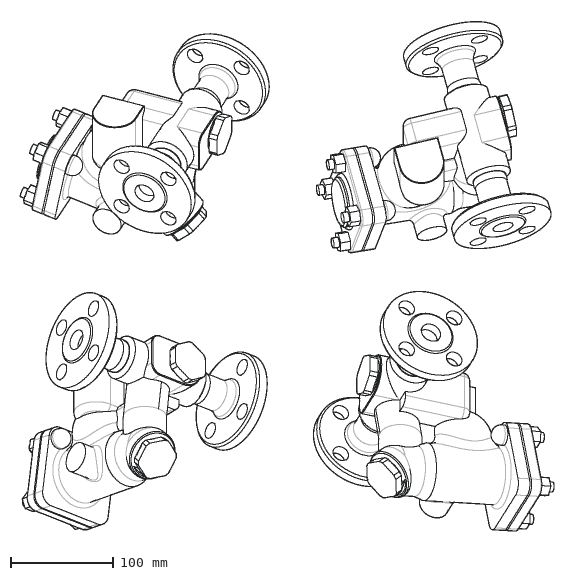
import cadquery as cq
import math


pipe_half_length = 100.98
flange_radius = 49.0
flange_back = 87.7
flange_front = 99.6
flange_chamfer = 2.3
raised_face_radius = 21.8
raised_face_spread = 1.6
bolt_circle_radius = 35.0
bolt_hole_diameter = 16.0
bore_diameter = 20.0
bore_depth = 10.0
neck_radius = 16.0
hub_waist_radius = 19.0
hub_waist = 84.9
hub_radius = 20.8
hub_start = 75.8
shell_radius = 22.0
shell_half_length = 47.5
shell_chamfer_length = 2.9
shell_end_radius = 16.6
weld_radius = 16.8
weld_end = 54.7

boss_reach = 27.5
boss_round_y = 12.1
boss_flat_y = -28.0
boss_corner = 10.0
boss_edge = 0.8
plug_across_flats = 38.0
plug_corner_diameter = 41.5
plug_height = 8.5
plug_seat_diameter = 35.0
plug_seat_height = 1.8

body_y = -8.2
tilt = math.radians(10)
cover_x = -135.2
cover_z = -67.5
cover_size = 82.5
cover_corner = 12.0
cover_edge = 1.5
cover_thickness = 11.3
gasket_diameter = 69.9
gasket_thickness = 1.8
body_flange_thickness = 12.1
cap_diameter = 50.0
cap_height = 7.0
cap_edge = 2.0
cap_foot = 3.0
bolt_spacing = 58.0
bolt_diameter = 10.0
bolt_reach = 15.6
nut_corner_diameter = 20.0
nut_height = 10.0
lug_radius = 10.0
lug_length = 2.7
barrel_radius = 28.4
barrel_fillet = 4.1
barrel_length = 102.5
taper_length = 10.3
elbow_distance = 133.1
elbow_radius = 24.96
elbow_face = 11.7
elbow_edge = 1.2

dome_radius = 31.5
dome_x = -70.9
dome_z = -41.0
dome_fillet = 12.0
web_half_thickness = 8.2
web_top = -24.7
web_round = 7.2
column_x = -62.7
column_y = -25.0
column_radius = 22.0
column_back_y = -3.0
column_top = 24.9
column_bottom = -34.5
column_round = 6.5
column_top_edge = 0.6
duct_left = -69.5
duct_front = -7.8
duct_back = 28.5
duct_top = 19.1
duct_bottom = -35.0
duct_round = 8.2
stub_x = -59.4
stub_z = -89.0
stub_diameter = 30.0
stub_end_y = -53.5
stub_fillet = 4.5
riser_x = -8.0
riser_radius = 21.2
riser_bend_z = -50.3

barrel_direction = cq.Vector(math.cos(tilt), 0, -math.sin(tilt))
cover_center = cq.Vector(cover_x, body_y, cover_z)
elbow_center = cover_center + barrel_direction * elbow_distance


def barrel_plane(distance):
    """Plane square to the barrel; local x is Y, local z runs from cover to elbow."""
    return cq.Plane(cover_center + barrel_direction * distance, (0, 1, 0), barrel_direction)


def turned_on_barrel(profile):
    """Revolve a closed profile about the barrel axis; sketch x is radius, y is distance."""
    across = cq.Vector(0, 1, 0)
    plane = cq.Plane(cover_center, across, across.cross(barrel_direction))
    return profile(cq.Workplane(plane)).close().revolve(360, (0, 0, 0), (0, 1, 0))


def blended(base, branch, radius):
    """Join a round branch to a round base and fillet the curved seam between them."""
    return base.union(branch).edges("%BSPLINE").fillet(radius)


def shell():
    """Thick middle of the pipe with chamfered ends."""
    shoulder = shell_half_length - shell_chamfer_length
    return (
        cq.Workplane("XY")
        .moveTo(0, -shell_half_length)
        .lineTo(shell_end_radius, -shell_half_length)
        .lineTo(shell_radius, -shoulder)
        .lineTo(shell_radius, shoulder)
        .lineTo(shell_end_radius, shell_half_length)
        .lineTo(0, shell_half_length)
        .close()
        .revolve(360, (0, 0, 0), (0, 1, 0))
    )


def pipe_end():
    """Weld bead, neck, hub and flange of the pipe on the +Y side."""
    end = (
        cq.Workplane("XY")
        .lineTo(neck_radius, 0)
        .lineTo(neck_radius, shell_half_length)
        .threePointArc((weld_radius, (shell_half_length + weld_end) / 2), (neck_radius, weld_end))
        .lineTo(neck_radius, hub_start)
        .tangentArcPoint((hub_waist_radius, hub_waist), relative=False)
        .tangentArcPoint((hub_radius, flange_back), relative=False)
        .lineTo(flange_radius - flange_chamfer, flange_back)
        .lineTo(flange_radius, flange_back + flange_chamfer)
        .lineTo(flange_radius, flange_front)
        .lineTo(raised_face_radius + raised_face_spread, flange_front)
        .lineTo(raised_face_radius, pipe_half_length)
        .lineTo(0, pipe_half_length)
        .close()
        .revolve(360, (0, 0, 0), (0, 1, 0))
    )
    face = cq.Workplane("XZ", origin=(0, pipe_half_length, 0))
    bore = face.circle(bore_diameter / 2).extrude(bore_depth)
    holes = (
        face.polarArray(bolt_circle_radius, 45, 360, 4)
        .circle(bolt_hole_diameter / 2)
        .extrude(pipe_half_length - flange_back)
    )
    return end.cut(bore).cut(holes)


def hex_plug(center, corner_direction, axis):
    """Hexagonal plug head with rounded-off corners, on a round seat."""
    plane = cq.Workplane(cq.Plane(center, corner_direction, axis))
    seat = plane.circle(plug_seat_diameter / 2).extrude(plug_seat_height)
    outer_face = plane.workplane(offset=plug_seat_height)
    across_corners = plug_across_flats / math.cos(math.pi / 6)
    hexagon = outer_face.polygon(6, across_corners).extrude(plug_height)
    corner_round = outer_face.circle(plug_corner_diameter / 2).extrude(plug_height)
    return seat.union(hexagon.intersect(corner_round))


def side_boss():
    """Boss on the +X side of the pipe: one end round, the other with soft corners."""
    block = (
        cq.Workplane("YZ")
        .moveTo(boss_round_y, shell_radius)
        .threePointArc((boss_round_y + shell_radius, 0), (boss_round_y, -shell_radius))
        .lineTo(boss_flat_y, -shell_radius)
        .lineTo(boss_flat_y, shell_radius)
        .close()
        .extrude(boss_reach)
        .edges("|X and <Y")
        .fillet(boss_corner)
        .faces(">X")
        .edges()
        .chamfer(boss_edge)
    )
    plug_seat = cq.Vector(boss_reach, boss_round_y, 0)
    return block.union(hex_plug(plug_seat, cq.Vector(0, 0, 1), cq.Vector(1, 0, 0)))


def square_plate(start, thickness):
    """Square plate with round corners, centered on the barrel axis."""
    return (
        cq.Workplane(barrel_plane(start))
        .rect(cover_size, cover_size)
        .extrude(thickness)
        .edges(cq.selectors.ParallelDirSelector(barrel_direction))
        .fillet(cover_corner)
    )


def cover():
    """Cover plate with its raised cap and the gasket behind it."""
    outer_face = cq.selectors.DirectionMinMaxSelector(barrel_direction, False)
    plate = square_plate(0, cover_thickness).faces(outer_face).edges().fillet(cover_edge)
    cap_radius = cap_diameter / 2

    def cap_profile(sketch):
        return (
            sketch.lineTo(0, -cap_height)
            .lineTo(cap_radius - cap_edge, -cap_height)
            .radiusArc((cap_radius, cap_edge - cap_height), cap_edge)
            .lineTo(cap_radius, -cap_foot)
            .radiusArc((cap_radius + cap_foot, 0), -cap_foot)
        )

    cap = turned_on_barrel(cap_profile)
    gasket = (
        cq.Workplane(barrel_plane(cover_thickness))
        .circle(gasket_diameter / 2)
        .extrude(gasket_thickness)
    )
    return plate.union(cap).union(gasket)


def bolts():
    """Four bolts with nuts; nuts on one diagonal are turned by a right angle."""
    parts = cq.Workplane("XY")
    half = bolt_spacing / 2
    for y_side in (-1, 1):
        for up_side in (-1, 1):
            turn = 0 if y_side == up_side else 90
            spot = cq.Workplane(barrel_plane(0)).center(y_side * half, up_side * half)
            nut = spot.transformed((0, 0, turn)).polygon(6, nut_corner_diameter).extrude(-nut_height)
            stud = spot.circle(bolt_diameter / 2).extrude(-bolt_reach)
            parts = parts.add(nut.union(stud))
    return parts.combine()


def lugs():
    """Ball-ended lugs behind the two upper corners of the body flange."""
    start = cover_thickness + gasket_thickness + body_flange_thickness
    half = bolt_spacing / 2
    plane = cq.Workplane(barrel_plane(start)).pushPoints([(-half, half), (half, half)])
    posts = plane.circle(lug_radius).extrude(lug_length)
    balls = (
        cq.Workplane(barrel_plane(start + lug_length))
        .pushPoints([(-half, half), (half, half)])
        .sphere(lug_radius)
    )
    return posts.union(balls)


def barrel():
    """Body flange, tilted barrel, tapered end and the round elbow with its plug."""
    flange_start = cover_thickness + gasket_thickness
    neck_start = flange_start + body_flange_thickness

    def barrel_profile(sketch):
        return (
            sketch.moveTo(0, flange_start)
            .lineTo(barrel_radius + barrel_fillet, flange_start)
            .lineTo(barrel_radius + barrel_fillet, neck_start)
            .radiusArc((barrel_radius, neck_start + barrel_fillet), barrel_fillet)
            .lineTo(barrel_radius, barrel_length)
            .lineTo(elbow_radius, barrel_length + taper_length)
            .lineTo(elbow_radius, elbow_distance)
            .lineTo(0, elbow_distance)
        )

    plug_axis = cq.Vector(1, 0, -1).normalized()
    corner = cq.Vector(1, 0, 1).normalized()
    elbow = cq.Workplane("XY", origin=elbow_center.toTuple()).sphere(elbow_radius)
    mouth = (
        cq.Workplane(cq.Plane(elbow_center, corner, plug_axis))
        .circle(elbow_radius)
        .extrude(elbow_face)
        .faces(cq.selectors.DirectionMinMaxSelector(plug_axis))
        .edges()
        .chamfer(elbow_edge)
    )
    beyond = (
        cq.Workplane(cq.Plane(elbow_center + plug_axis * elbow_face, corner, plug_axis))
        .circle(elbow_radius)
        .extrude(elbow_radius)
    )
    return (
        turned_on_barrel(barrel_profile)
        .union(square_plate(flange_start, body_flange_thickness))
        .union(elbow.cut(beyond))
        .union(mouth)
        .union(hex_plug(elbow_center + plug_axis * elbow_face, corner, plug_axis))
    )


def dome():
    """Ball above the barrel and the stub on its side, both blended into the barrel."""
    tube = cq.Workplane(barrel_plane(0)).circle(barrel_radius).extrude(barrel_length)
    ball = cq.Workplane("XY", origin=(dome_x, body_y, dome_z)).sphere(dome_radius)
    stub = (
        cq.Workplane("XZ", origin=(stub_x, body_y, stub_z))
        .circle(stub_diameter / 2)
        .extrude(body_y - stub_end_y)
    )
    domed = blended(tube, ball, dome_fillet)
    stubbed = blended(tube, stub, stub_fillet)
    both = domed.union(stubbed)
    keep = (
        cq.Workplane(barrel_plane(cover_thickness + gasket_thickness))
        .circle(cover_size)
        .extrude(barrel_length)
    )
    return both.intersect(keep)


def web():
    """Upright web between the dome and the riser."""
    return (
        cq.Workplane("XZ", origin=(0, body_y + web_half_thickness, 0))
        .moveTo(dome_x, web_top)
        .lineTo(riser_x, web_top)
        .lineTo(riser_x, elbow_center.z)
        .lineTo(dome_x, elbow_center.z)
        .close()
        .extrude(2 * web_half_thickness)
        .edges("|X and >Z")
        .fillet(web_round)
    )


def column():
    """D-shaped column: flat at the back, round in front and around its lower edge."""
    return (
        cq.Workplane("XY", origin=(column_x, 0, column_bottom))
        .moveTo(-column_radius, column_back_y)
        .lineTo(-column_radius, column_y)
        .threePointArc((0, column_y - column_radius), (column_radius, column_y))
        .lineTo(column_radius, column_back_y)
        .close()
        .extrude(column_top - column_bottom)
        .faces("<Z")
        .edges()
        .fillet(column_round)
        .faces(">Z")
        .edges()
        .chamfer(column_top_edge)
    )


def duct():
    """Rounded duct between the column and the pipe."""
    block = cq.Workplane("XY").box(
        -duct_left, duct_back - duct_front, duct_top - duct_bottom, centered=False
    )
    block = block.translate((duct_left, duct_front, duct_bottom))
    return block.edges("|X or <X").fillet(duct_round)


def riser():
    """Upright tube from the elbow, shifting over to the pipe axis near its top."""
    foot = cq.Workplane("XY", origin=(riser_x, body_y, elbow_center.z))
    tube = foot.circle(riser_radius).extrude(riser_bend_z - elbow_center.z)
    shift = (
        cq.Workplane("XY", origin=(riser_x, body_y, riser_bend_z))
        .circle(riser_radius)
        .workplane(offset=-riser_bend_z)
        .center(-riser_x, 0)
        .circle(riser_radius)
        .loft()
    )
    return tube.union(shift)


near_end = pipe_end()
result = shell().union(near_end).union(near_end.mirror("XZ"))
for piece in (riser(), side_boss(), duct(), barrel(), dome(), web(), column(), lugs(), cover(), bolts()):
    result = result.union(piece)